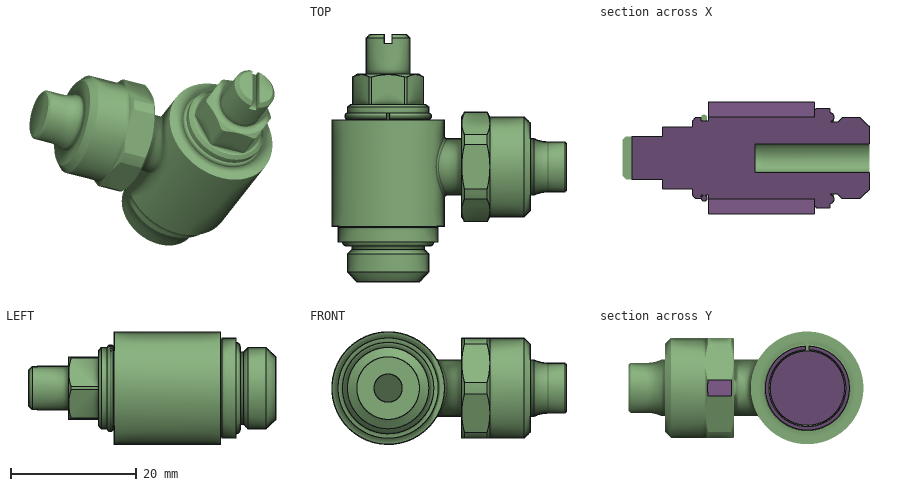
import cadquery as cq
import math


barrel_diameter = 18.0
barrel_length = 17.0
barrel_top = 7.5
barrel_bottom = barrel_top - barrel_length

arm_diameter = 9.0
arm_root_fillet = 0.4

nut_start = 11.7
nut_length = 11.0
nut_end = nut_start + nut_length
nut_hex_length = 4.6
nut_across_flats = 16.0
nut_corner_diameter = 17.5
nut_chamfer = 1.0

spigot_end = 28.5
spigot_diameter = 8.0
spigot_shoulder_length = 0.6
spigot_taper_length = 2.2
spigot_tip_chamfer = 0.3

shank_diameter = 13.0
bore_diameter = 4.5

flange_diameter = 16.0
flange_length = 2.3
shoulder_diameter = 15.6
shoulder_length = 0.2
seal_diameter = 14.6
seal_height = 0.65

thread_diameter = 13.0
thread_lead_diameter = 10.0
thread_lead_length = 1.6
thread_length = 2.85
relief_diameter = 11.6
relief_below_seal = 0.55

ring_groove_diameter = 11.95
ring_groove_width = 1.1
ring_outer_diameter = 13.85
ring_wire_diameter = 1.0
ring_end_gap = 0.5

collar_diameter = 13.05
collar_top_diameter = 11.9
collar_length = 1.4
collar_chamfer_height = 0.47

bolt_hex_height = 4.8
bolt_across_flats = 10.0
bolt_corner_diameter = 11.3

screw_diameter = 7.0
screw_length = 6.36
screw_chamfer = 0.6
slot_width = 1.2
slot_depth = 1.45

hex_chamfer_angle = 30.0
hex_face_undercut = 0.1


def chamfered_hexagon(across_flats, corner_diameter, height, chamfer_both_ends):
    """Hexagon along local Z with flats facing X, turned to a cylinder and a cone at its ends."""
    prism = cq.Workplane("XY").polygon(6, across_flats, circumscribed=True).extrude(height)
    corner_radius = corner_diameter / 2
    face_radius = across_flats / 2 - hex_face_undercut
    chamfer_height = (corner_radius - face_radius) * math.tan(math.radians(hex_chamfer_angle))
    outline = cq.Workplane("XZ")
    if chamfer_both_ends:
        outline = outline.lineTo(face_radius, 0).lineTo(corner_radius, chamfer_height)
    else:
        outline = outline.lineTo(corner_radius, 0)
    envelope = (
        outline.lineTo(corner_radius, height - chamfer_height)
        .lineTo(face_radius, height)
        .lineTo(0, height)
        .close()
        .revolve(360, (0, 0), (0, 1))
    )
    return prism.intersect(envelope)


def make_barrel_and_arm():
    """Barrel along Y with the outlet arm blended into its side."""
    barrel = (
        cq.Workplane("XZ", origin=(0, barrel_top, 0))
        .circle(barrel_diameter / 2)
        .extrude(barrel_length)
    )
    arm = cq.Workplane("YZ").circle(arm_diameter / 2).extrude(nut_start)
    joint_box = cq.selectors.BoxSelector(
        (0, -arm_diameter, -arm_diameter),
        (barrel_diameter / 2 + arm_root_fillet, arm_diameter, arm_diameter),
        boundingbox=False,
    )
    joint_edges = cq.selectors.AndSelector(joint_box, cq.selectors.TypeSelector("BSPLINE"))
    return barrel.union(arm).edges(joint_edges).fillet(arm_root_fillet)


def make_nut():
    """Hexagon with a round, chamfered sleeve in front of it, along +X."""
    hexagon = (
        chamfered_hexagon(nut_across_flats, nut_corner_diameter, nut_hex_length, True)
        .rotate((0, 0, 0), (0, 1, 0), 90)
        .translate((nut_start, 0, 0))
    )
    sleeve = (
        cq.Workplane("YZ", origin=(nut_start + nut_hex_length / 2, 0, 0))
        .circle(nut_across_flats / 2)
        .extrude(nut_length - nut_hex_length / 2)
        .faces(">X")
        .chamfer(nut_chamfer)
    )
    return hexagon.union(sleeve)


def make_spigot():
    """Hose spigot that narrows along a hollow arc tangent to its cylindrical tip."""
    root_radius = arm_diameter / 2
    tip_radius = spigot_diameter / 2
    taper_start = nut_end + spigot_shoulder_length
    taper_end = taper_start + spigot_taper_length
    return (
        cq.Workplane("XY")
        .moveTo(nut_start, 0)
        .lineTo(spigot_end, 0)
        .lineTo(spigot_end, tip_radius - spigot_tip_chamfer)
        .lineTo(spigot_end - spigot_tip_chamfer, tip_radius)
        .lineTo(taper_end, tip_radius)
        .tangentArcPoint((taper_start, root_radius), relative=False)
        .lineTo(nut_start, root_radius)
        .close()
        .revolve(360, (0, 0), (1, 0))
    )


def make_housing():
    shank_hole = (
        cq.Workplane("XZ", origin=(0, barrel_top, 0))
        .circle(shank_diameter / 2)
        .extrude(barrel_length)
    )
    return make_barrel_and_arm().cut(shank_hole).union(make_nut()).union(make_spigot())


flange_top = barrel_bottom - shoulder_length
flange_bottom = flange_top - flange_length
seal_bottom = flange_bottom - seal_height
relief_bottom = seal_bottom - relief_below_seal
thread_top = relief_bottom - (thread_diameter - relief_diameter) / 2
thread_bottom = thread_top - thread_length
bolt_bottom = thread_bottom - thread_lead_length
collar_bottom = barrel_top + ring_groove_width
collar_top = collar_bottom + collar_length
bolt_hex_top = collar_top + bolt_hex_height
screw_top = bolt_hex_top + screw_length


def make_bolt_core():
    """Round core from the threaded end up to the collar, with a rounded seal under the flange."""
    seal_mean_radius = (seal_diameter + relief_diameter) / 4
    return (
        cq.Workplane("XY")
        .moveTo(0, bolt_bottom)
        .lineTo(thread_lead_diameter / 2, bolt_bottom)
        .lineTo(thread_diameter / 2, thread_bottom)
        .lineTo(thread_diameter / 2, thread_top)
        .lineTo(relief_diameter / 2, relief_bottom)
        .lineTo(relief_diameter / 2, flange_bottom)
        .threePointArc((seal_mean_radius, seal_bottom), (seal_diameter / 2, flange_bottom))
        .lineTo(flange_diameter / 2, flange_bottom)
        .lineTo(flange_diameter / 2, flange_top)
        .lineTo(shoulder_diameter / 2, flange_top)
        .lineTo(shoulder_diameter / 2, barrel_bottom)
        .lineTo(shank_diameter / 2, barrel_bottom)
        .lineTo(shank_diameter / 2, barrel_top)
        .lineTo(ring_groove_diameter / 2, barrel_top)
        .lineTo(ring_groove_diameter / 2, collar_bottom)
        .lineTo(collar_diameter / 2, collar_bottom)
        .lineTo(collar_diameter / 2, collar_top - collar_chamfer_height)
        .lineTo(collar_top_diameter / 2, collar_top)
        .lineTo(0, collar_top)
        .close()
        .revolve(360, (0, 0), (0, 1))
    )


def make_retaining_ring():
    """Round-wire ring in the groove under the collar, with its end gap on +Z."""
    wire_radius = ring_wire_diameter / 2
    mean_radius = ring_outer_diameter / 2 - wire_radius
    ring_level = collar_bottom - wire_radius
    ring = (
        cq.Workplane("XY")
        .center(mean_radius, ring_level)
        .circle(wire_radius)
        .revolve(360, (-mean_radius, 0), (-mean_radius, 1))
    )
    gap = (
        cq.Workplane("XY", origin=(0, ring_level, 0))
        .rect(ring_end_gap, 2 * ring_wire_diameter)
        .extrude(ring_outer_diameter)
    )
    return ring.cut(gap)


def make_bolt_hexagon():
    return (
        chamfered_hexagon(bolt_across_flats, bolt_corner_diameter, bolt_hex_height, False)
        .rotate((0, 0, 0), (0, 0, 1), 90)
        .rotate((0, 0, 0), (1, 0, 0), -90)
        .translate((0, collar_top, 0))
    )


def make_adjusting_screw():
    """Screw end above the hexagon, with a driver slot running along Z."""
    screw = (
        cq.Workplane("XZ", origin=(0, screw_top, 0))
        .circle(screw_diameter / 2)
        .extrude(screw_length)
        .faces(">Y")
        .chamfer(screw_chamfer)
    )
    slot = (
        cq.Workplane("XZ", origin=(0, screw_top, 0))
        .rect(slot_width, 2 * screw_diameter)
        .extrude(slot_depth)
    )
    return screw.cut(slot)


def make_bolt():
    bore = cq.Workplane("XZ").circle(bore_diameter / 2).extrude(-bolt_bottom)
    return (
        make_bolt_core()
        .union(make_retaining_ring())
        .union(make_bolt_hexagon())
        .union(make_adjusting_screw())
        .cut(bore)
    )


housing = make_housing()
bolt = make_bolt()

result = cq.Compound.makeCompound([housing.solids().val(), bolt.solids().val()])